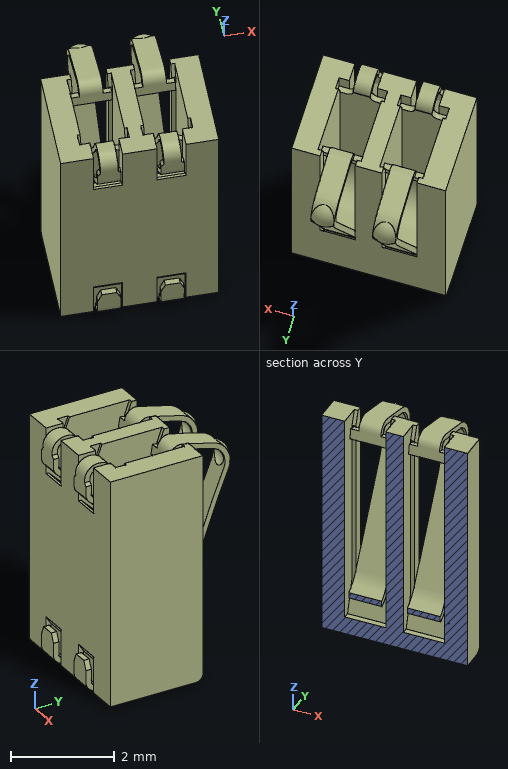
import cadquery as cq
import math


BODY_WIDTH = 3.12
BODY_DEPTH = 2.08
BODY_HEIGHT = 5.0
BOTTOM_EDGE_RADIUS = 0.16
POLE_PITCH = 1.25

POCKET_FLOOR_Z = 0.4
POCKET_WIDTH = 0.87
LEAD_IN_DEPTH = 0.11
LEAD_IN_HEIGHT = 0.3
BACK_LIP = 0.235
BACK_TOE = 0.205
BACK_TOE_HEIGHT = 0.7
BACK_SLOT_WIDTH = 0.71
BACK_SLOT_CLEARANCE = 0.125
FRONT_SLOT_WIDTH = 0.57
UPPER_SLOT_FLOOR_Z = 3.99
UPPER_SLOT_LEDGE = 0.055
LOWER_SLOT_HEIGHT = 0.805
LOWER_SLOT_DEPTH = 0.105
LOWER_SLOT_SLOPE_HEIGHT = 0.17

THICKNESS = 0.12
FOOT_PROTRUSION = 0.135
FOOT_WIDTH = 0.46

PLATE_FRONT_Y = 0.38
PLATE_WIDTH = 0.98
SHOULDER_Z = 4.625
NECK_WIDTH = 0.35
NECK_FILLET = 0.14

HOOK_RADIUS = 0.3
LEG_RADIUS = 0.225
LEG_BEND_Z = 4.4
LEG_SLOPE = 45.0
LEG_END_Y = 0.26
HOOK_FLARE_TOP_Z = 4.655
HOOK_FLARE_BOTTOM_Z = 4.59

LOWER_FOOT_HEIGHT = 0.695
LOWER_FOOT_RADIUS = 0.24
LOWER_FOOT_TIP_WIDTH = 0.295
LOWER_FOOT_TAPER = 0.19

ARM_LEAN = 22.2
ARM_EXIT_Z = 1.69
ARM_TOP_SLOPE = 14.0
ARM_TOP_EXIT_Z = 4.92
BOTTOM_BEND_RADIUS = 0.795
TIP_RADIUS = 0.5
ARM_ROOT_WIDTH = 0.705
ARM_TIP_WIDTH = 0.47
ARM_ROOT_Z = 1.0
TAPER_END_Z = 3.525

DOME_TIP_Y = 3.175
DOME_RADIUS = 0.365
DOME_ANGLE = 11.0

CURL_RADIUS = 0.25
TAB_WIDTH = 0.815
TAB_LEAN = 9.0
TAB_TOP_Y = 1.785
TAB_TOP_Z = 4.69
TAB_LENGTH = 0.22

HALF = THICKNESS / 2
PLATE_BACK_Y = PLATE_FRONT_Y + THICKNESS
PLATE_MID_Y = PLATE_FRONT_Y + HALF
FOOT_MID_Y = HALF - FOOT_PROTRUSION
POCKET_BACK_Y = BODY_DEPTH - BACK_LIP


def tilted(degrees):
    """Unit (y, z) direction, measured upward from +Y."""
    return math.cos(math.radians(degrees)), math.sin(math.radians(degrees))


def meeting_point(point_a, angle_a, point_b, angle_b):
    """Point where two (y, z) lines cross, each given by a point and an angle."""
    ay, az = tilted(angle_a)
    by, bz = tilted(angle_b)
    dy, dz = point_b[0] - point_a[0], point_b[1] - point_a[1]
    travel = (dy * bz - dz * by) / (ay * bz - az * by)
    return point_a[0] + travel * ay, point_a[1] + travel * az


def bend_centre(before, corner, after, radius):
    """Centre of the bend of a given mid-line radius, its entry direction and its turn in radians."""
    length_in = math.dist(before, corner)
    length_out = math.dist(corner, after)
    way_in = [(c - b) / length_in for b, c in zip(before, corner)]
    way_out = [(a - c) / length_out for c, a in zip(corner, after)]
    turn = math.atan2(
        way_in[0] * way_out[1] - way_in[1] * way_out[0],
        way_in[0] * way_out[0] + way_in[1] * way_out[1],
    )
    setback = radius * math.tan(abs(turn) / 2)
    side = math.copysign(1, turn)
    centre = (
        corner[0] - setback * way_in[0] - side * radius * way_in[1],
        corner[1] - setback * way_in[1] + side * radius * way_in[0],
    )
    return centre, way_in, turn


def strip_edge(points, outer_radii, side):
    """First point, (start, middle, end) arc points of every bend, and last point of one strip edge.

    side is +1 for the left edge and -1 for the right edge.
    """
    bends = []
    for before, corner, after, outer_radius in zip(points, points[1:], points[2:], outer_radii):
        radius = outer_radius - HALF
        centre, way_in, turn = bend_centre(before, corner, after, radius)
        bend_side = math.copysign(1, turn)
        edge_radius = radius - side * bend_side * HALF
        start_angle = math.atan2(-bend_side * way_in[0], bend_side * way_in[1])
        angles = [start_angle + share * turn for share in (0, 0.5, 1)]
        bends.append([
            (centre[0] + edge_radius * math.cos(a), centre[1] + edge_radius * math.sin(a)) for a in angles
        ])

    def end_corner(end, start, finish):
        length = math.dist(start, finish)
        return (
            end[0] - side * HALF * (finish[1] - start[1]) / length,
            end[1] + side * HALF * (finish[0] - start[0]) / length,
        )

    first = end_corner(points[0], points[0], points[1])
    last = end_corner(points[-1], points[-2], points[-1])
    return first, bends, last


def bent_strip(points, outer_radii, width):
    """Sheet strip of a given X width along a (y, z) mid-line whose corners are rounded."""
    left_first, left_bends, left_last = strip_edge(points, outer_radii, 1)
    right_first, right_bends, right_last = strip_edge(points, outer_radii, -1)
    outline = cq.Workplane("YZ").moveTo(*left_first)
    for start, middle, end in left_bends:
        outline = outline.lineTo(*start).threePointArc(middle, end)
    outline = outline.lineTo(*left_last).lineTo(*right_last)
    for start, middle, end in reversed(right_bends):
        outline = outline.lineTo(*end).threePointArc(middle, start)
    return outline.lineTo(*right_first).close().extrude(width / 2, both=True)


def front_planform(half_outline):
    """Long Y prism, symmetric in X, from (half width, z) points listed upward."""
    mirrored = [(-x, z) for x, z in reversed(half_outline)]
    return cq.Workplane("XZ").polyline(half_outline + mirrored).close().extrude(2 * BODY_DEPTH, both=True)


def side_prism(points, width):
    """Prism of a given X width, centred on X = 0, from (y, z) points."""
    return cq.Workplane("YZ").polyline(points).close().extrude(width / 2, both=True)


def pocket():
    """Everything removed from the housing for one contact."""
    lead_in_z = BODY_HEIGHT - LEAD_IN_HEIGHT
    chamber = side_prism(
        [
            (PLATE_FRONT_Y, POCKET_FLOOR_Z),
            (POCKET_BACK_Y - BACK_TOE, POCKET_FLOOR_Z),
            (POCKET_BACK_Y, POCKET_FLOOR_Z + BACK_TOE_HEIGHT),
            (POCKET_BACK_Y, lead_in_z),
            (POCKET_BACK_Y + LEAD_IN_DEPTH, BODY_HEIGHT),
            (PLATE_FRONT_Y, BODY_HEIGHT),
        ],
        POCKET_WIDTH,
    )
    plate_grooves = side_prism(
        [
            (PLATE_FRONT_Y, POCKET_FLOOR_Z),
            (PLATE_BACK_Y, POCKET_FLOOR_Z),
            (PLATE_BACK_Y, lead_in_z),
            (PLATE_BACK_Y + LEAD_IN_DEPTH, BODY_HEIGHT),
            (PLATE_FRONT_Y, BODY_HEIGHT),
        ],
        PLATE_WIDTH,
    )
    back_slot_z = ARM_EXIT_Z - BACK_SLOT_CLEARANCE
    back_slot = side_prism(
        [
            (POCKET_BACK_Y, back_slot_z - BACK_LIP / math.tan(math.radians(ARM_LEAN))),
            (BODY_DEPTH, back_slot_z),
            (BODY_DEPTH, BODY_HEIGHT),
            (POCKET_BACK_Y, BODY_HEIGHT),
        ],
        BACK_SLOT_WIDTH,
    )
    ledge_drop = (PLATE_FRONT_Y - UPPER_SLOT_LEDGE) * math.tan(math.radians(LEG_SLOPE))
    upper_slot = side_prism(
        [
            (0, UPPER_SLOT_FLOOR_Z),
            (UPPER_SLOT_LEDGE, UPPER_SLOT_FLOOR_Z),
            (PLATE_FRONT_Y, UPPER_SLOT_FLOOR_Z - ledge_drop),
            (PLATE_FRONT_Y, BODY_HEIGHT),
            (0, BODY_HEIGHT),
        ],
        FRONT_SLOT_WIDTH,
    )
    lower_slot = side_prism(
        [
            (0, 0),
            (LOWER_SLOT_DEPTH, 0),
            (LOWER_SLOT_DEPTH, LOWER_SLOT_HEIGHT - LOWER_SLOT_SLOPE_HEIGHT),
            (0, LOWER_SLOT_HEIGHT),
        ],
        FRONT_SLOT_WIDTH,
    )
    return chamber.union(plate_grooves).union(back_slot).union(upper_slot).union(lower_slot)


def plate():
    """Retaining plate with shoulders and a filleted neck up to the hook."""
    half_plate, half_neck = PLATE_WIDTH / 2, NECK_WIDTH / 2
    fillet_top = SHOULDER_Z + NECK_FILLET
    sink = NECK_FILLET * (1 - math.sqrt(0.5))
    return (
        cq.Workplane("XZ", origin=(0, PLATE_BACK_Y, 0))
        .moveTo(-half_plate, POCKET_FLOOR_Z)
        .lineTo(half_plate, POCKET_FLOOR_Z)
        .lineTo(half_plate, SHOULDER_Z)
        .lineTo(half_neck + NECK_FILLET, SHOULDER_Z)
        .threePointArc((half_neck + sink, SHOULDER_Z + sink), (half_neck, fillet_top))
        .lineTo(-half_neck, fillet_top)
        .threePointArc((-half_neck - sink, SHOULDER_Z + sink), (-half_neck - NECK_FILLET, SHOULDER_Z))
        .lineTo(-half_plate, SHOULDER_Z)
        .close()
        .extrude(THICKNESS)
    )


def upper_foot():
    """Hook over the front wall, with a leg sloping back toward the plate."""
    crest_z = BODY_HEIGHT - HALF
    leg_angle = -LEG_SLOPE
    leg_setback = (LEG_RADIUS - HALF) * math.tan(math.radians(90 - LEG_SLOPE) / 2)
    leg_corner = (FOOT_MID_Y, LEG_BEND_Z - leg_setback)
    leg_end = meeting_point(leg_corner, leg_angle, (LEG_END_Y, 0), 90)
    path = [(PLATE_MID_Y, SHOULDER_Z), (PLATE_MID_Y, crest_z), (FOOT_MID_Y, crest_z), leg_corner, leg_end]
    flared = front_planform([
        (FOOT_WIDTH / 2, 0),
        (FOOT_WIDTH / 2, HOOK_FLARE_BOTTOM_Z),
        (NECK_WIDTH / 2, HOOK_FLARE_TOP_Z),
        (NECK_WIDTH / 2, BODY_HEIGHT),
    ])
    return bent_strip(path, [HOOK_RADIUS, HOOK_RADIUS, LEG_RADIUS], FOOT_WIDTH).intersect(flared)


def lower_foot():
    """Upturned foot whose root is embedded in the housing floor."""
    path = [(FOOT_MID_Y, LOWER_FOOT_HEIGHT), (FOOT_MID_Y, HALF), (PLATE_BACK_Y, HALF)]
    tapered = front_planform([
        (FOOT_WIDTH / 2, 0),
        (FOOT_WIDTH / 2, LOWER_FOOT_HEIGHT - LOWER_FOOT_TAPER),
        (LOWER_FOOT_TIP_WIDTH / 2, LOWER_FOOT_HEIGHT),
    ])
    return bent_strip(path, [LOWER_FOOT_RADIUS], FOOT_WIDTH).intersect(tapered)


def spring():
    """Spring arm with its contact dome and stop tab."""
    lean_angle = 90 - ARM_LEAN
    top_angle = -ARM_TOP_SLOPE
    tab_angle = 90 - TAB_LEAN
    on_lean = (BODY_DEPTH, ARM_EXIT_Z + HALF / math.sin(math.radians(ARM_LEAN)))
    on_top = (BODY_DEPTH, ARM_TOP_EXIT_Z - HALF / math.cos(math.radians(ARM_TOP_SLOPE)))
    tab_top = (TAB_TOP_Y, TAB_TOP_Z)

    root_corner = meeting_point(on_lean, lean_angle, (PLATE_MID_Y, 0), 90)
    tip_corner = meeting_point(on_lean, lean_angle, on_top, top_angle)
    curl_corner = meeting_point(on_top, top_angle, tab_top, tab_angle)
    path = [(PLATE_MID_Y, SHOULDER_Z), root_corner, tip_corner, curl_corner, tab_top]
    tapered = front_planform([
        (ARM_ROOT_WIDTH / 2, 0),
        (ARM_ROOT_WIDTH / 2, ARM_ROOT_Z),
        (ARM_TIP_WIDTH / 2, TAPER_END_Z),
        (ARM_TIP_WIDTH / 2, BODY_HEIGHT),
    ])
    arm = bent_strip(path, [BOTTOM_BEND_RADIUS, TIP_RADIUS, CURL_RADIUS], ARM_ROOT_WIDTH).intersect(tapered)

    tab_y, tab_z = tilted(tab_angle)
    tab_end = (TAB_TOP_Y - TAB_LENGTH * tab_y, TAB_TOP_Z - TAB_LENGTH * tab_z)
    tab = bent_strip([tab_top, tab_end], [], TAB_WIDTH)

    tip_centre, _, _ = bend_centre(root_corner, tip_corner, curl_corner, TIP_RADIUS - HALF)
    dome_y = DOME_TIP_Y - DOME_RADIUS
    dome_z = tip_centre[1] + (dome_y - tip_centre[0]) * math.tan(math.radians(DOME_ANGLE))
    dome_at = (0, dome_y, dome_z)
    bend_core = (
        cq.Workplane("YZ").center(*tip_centre).circle(TIP_RADIUS - HALF).extrude(ARM_ROOT_WIDTH, both=True)
    )
    dome = cq.Workplane("XY").sphere(DOME_RADIUS).translate(dome_at).cut(bend_core).intersect(tapered)
    dimple = cq.Workplane("XY").sphere(DOME_RADIUS - THICKNESS).translate(dome_at)
    return arm.union(dome).cut(dimple).union(tab)


housing = (
    cq.Workplane("XY")
    .box(BODY_WIDTH, BODY_DEPTH, BODY_HEIGHT, centered=(True, False, False))
    .edges(">Y and <Z")
    .fillet(BOTTOM_EDGE_RADIUS)
)
contact = plate().union(upper_foot()).union(lower_foot()).union(spring())

result = housing
for pole_x in (-POLE_PITCH / 2, POLE_PITCH / 2):
    result = result.cut(pocket().translate((pole_x, 0, 0)))
    result = result.union(contact.translate((pole_x, 0, 0)))